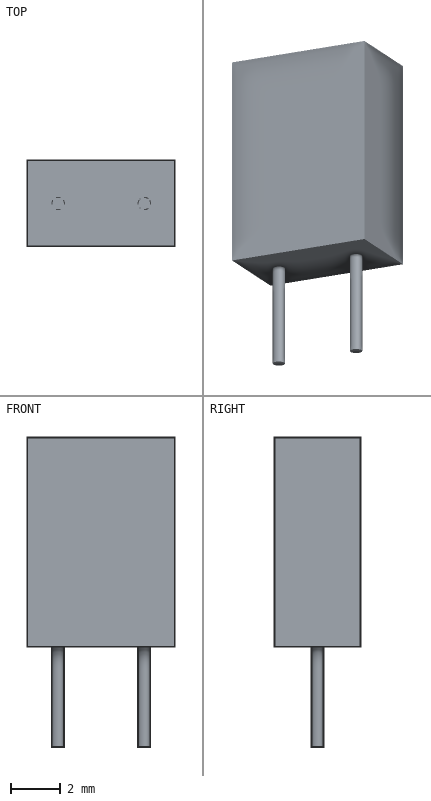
import cadquery as cq

total_height = 12.57
body_width = 6.0
body_depth = 3.51

lead_diameter = 0.5
lead_spacing = 3.5
lead_length = 4.07

body_height = total_height - lead_length


def make_body():
    """Rectangular case standing on the plane Z = 0."""
    return cq.Workplane("XY").box(body_width, body_depth, body_height, centered=(True, True, False))


def make_lead(x):
    """Straight round lead hanging from the underside of the case."""
    return cq.Workplane("XY").center(x, 0).circle(lead_diameter / 2).extrude(-lead_length)


body = make_body()
leads = [make_lead(side * lead_spacing / 2) for side in (-1, 1)]

result = cq.Compound.makeCompound([body.val(), *[lead.val() for lead in leads]])